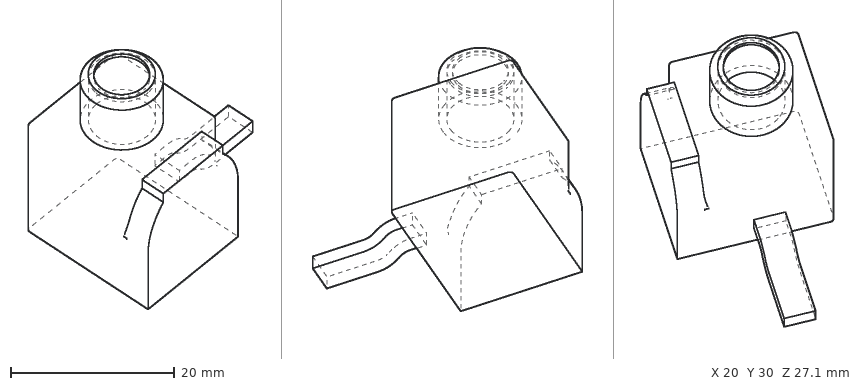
import cadquery as cq
import math

body_side = 16.5
body_height = 19.0
edge_radius = 0.5
center = body_side / 2

collar_height = 8.1
collar_diameter = 10.2
collar_chamfer = 1.0
mouth_diameter = 6.85
mouth_depth = 0.5
bore_diameter = 8.22
bore_depth = collar_height

side_block_reach = 3.5
side_block_height = 18.45
shoulder_height = 16.92
arc_start_height = 10.0
arc_radius = 10.0
square_corner_height = 10.17

strip_width = 4.02
strip_thickness = 2.0
strip_reach = 13.5
strip_end_height = 1.02
first_bend_offset = 2.22
inner_bend_radius = 2.0
outer_bend_radius = inner_bend_radius + strip_thickness
bend_angle = math.radians(45)
slope_length = 0.18


def make_body():
    block = cq.Workplane("XY").box(body_side, body_side, body_height, centered=False)
    rounded = block.edges("|Z or >Z").fillet(edge_radius)
    square_corners = (
        cq.Workplane("XY", origin=(body_side - edge_radius, 0, 0))
        .box(edge_radius, body_side, square_corner_height, centered=False)
    )
    return rounded.union(square_corners)


def make_side_block():
    """Block whose two flanks curve inward to a narrower flat top."""
    def arc_inset(height):
        rise = height - arc_start_height
        return arc_radius - math.sqrt(arc_radius**2 - rise**2)

    middle_height = (arc_start_height + shoulder_height) / 2
    middle_inset = arc_inset(middle_height)
    top_inset = arc_inset(shoulder_height)
    start_x = body_side - edge_radius
    return (
        cq.Workplane("YZ", origin=(start_x, 0, 0))
        .lineTo(body_side, 0)
        .lineTo(body_side, arc_start_height)
        .threePointArc((body_side - middle_inset, middle_height), (body_side - top_inset, shoulder_height))
        .lineTo(body_side - top_inset, side_block_height)
        .lineTo(top_inset, side_block_height)
        .lineTo(top_inset, shoulder_height)
        .threePointArc((middle_inset, middle_height), (0, arc_start_height))
        .close()
        .extrude(side_block_reach + edge_radius)
    )


def make_collar():
    """Chamfered collar with a blind bore that widens below its mouth."""
    collar = (
        cq.Workplane("XY", origin=(center, center, body_height))
        .circle(collar_diameter / 2)
        .extrude(collar_height)
        .faces(">Z")
        .chamfer(collar_chamfer)
        .faces(">Z")
        .workplane()
        .hole(mouth_diameter, mouth_depth)
    )
    bore = (
        cq.Workplane("XY", origin=(center, center, body_height + collar_height - bore_depth))
        .circle(bore_diameter / 2)
        .extrude(bore_depth - mouth_depth)
    )
    return collar.cut(bore)


def make_strip():
    """Strip with two opposite bends of equal angle, stepping down away from the housing."""
    radius_sum = inner_bend_radius + outer_bend_radius
    bend_run = radius_sum * math.sin(bend_angle) + slope_length * math.cos(bend_angle)
    drop = radius_sum * (1 - math.cos(bend_angle)) + slope_length * math.sin(bend_angle)

    top = strip_end_height + drop + strip_thickness
    upper_y = body_side + first_bend_offset
    upper_z = top - outer_bend_radius
    lower_y = upper_y + bend_run
    lower_z = strip_end_height + outer_bend_radius
    end_y = body_side + strip_reach
    root_y = body_side - edge_radius

    def upper_bend(radius, angle):
        return (upper_y + radius * math.sin(angle), upper_z + radius * math.cos(angle))

    def lower_bend(radius, angle):
        return (lower_y - radius * math.sin(angle), lower_z - radius * math.cos(angle))

    half_angle = bend_angle / 2
    return (
        cq.Workplane("YZ", origin=(center - strip_width / 2, 0, 0))
        .moveTo(root_y, top)
        .lineTo(*upper_bend(outer_bend_radius, 0))
        .threePointArc(upper_bend(outer_bend_radius, half_angle), upper_bend(outer_bend_radius, bend_angle))
        .lineTo(*lower_bend(inner_bend_radius, bend_angle))
        .threePointArc(lower_bend(inner_bend_radius, half_angle), lower_bend(inner_bend_radius, 0))
        .lineTo(end_y, strip_end_height + strip_thickness)
        .lineTo(end_y, strip_end_height)
        .lineTo(*lower_bend(outer_bend_radius, 0))
        .threePointArc(lower_bend(outer_bend_radius, half_angle), lower_bend(outer_bend_radius, bend_angle))
        .lineTo(*upper_bend(inner_bend_radius, bend_angle))
        .threePointArc(upper_bend(inner_bend_radius, half_angle), upper_bend(inner_bend_radius, 0))
        .lineTo(root_y, top - strip_thickness)
        .close()
        .extrude(strip_width)
    )


result = make_body().union(make_side_block()).union(make_collar()).union(make_strip())